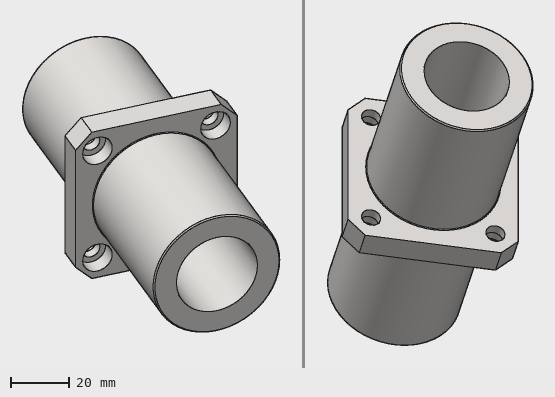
import cadquery as cq

length = 123.0
body_diameter = 47.0
bore_diameter = 30.0
end_chamfer = 0.5

flange_side = 60.0
flange_thickness = 10.0
corner_chamfer = 6.0
collar_diameter = 47.6

hole_diameter = 6.6
counterbore_diameter = 11.0
counterbore_depth = 6.2
hole_spacing = 43.8


def sleeve():
    """Solid round sleeve with chamfered ends."""
    body = cq.Workplane("YZ").circle(body_diameter / 2).extrude(length / 2, both=True)
    return body.faces("<X or >X").edges().chamfer(end_chamfer)


def flange():
    """Square plate with cut corners and four counterbored holes."""
    plate = cq.Workplane("XY").box(flange_thickness, flange_side, flange_side)
    plate = plate.edges("|X").chamfer(corner_chamfer)
    return (
        plate.faces(">X")
        .workplane()
        .rect(hole_spacing, hole_spacing, forConstruction=True)
        .vertices()
        .cboreHole(hole_diameter, counterbore_diameter, counterbore_depth)
    )


def root_cones():
    """Small 45-degree cones on both flange faces, joined through the flange."""
    body_radius = body_diameter / 2
    collar_radius = collar_diameter / 2
    face_x = flange_thickness / 2
    cone_end_x = face_x + collar_radius - body_radius
    profile = [
        (-cone_end_x, 0),
        (-cone_end_x, body_radius),
        (-face_x, collar_radius),
        (face_x, collar_radius),
        (cone_end_x, body_radius),
        (cone_end_x, 0),
    ]
    return cq.Workplane("XY").polyline(profile).close().revolve(360, (0, 0, 0), (1, 0, 0))


bore = cq.Workplane("YZ").circle(bore_diameter / 2).extrude(length / 2, both=True)

result = sleeve().union(flange()).union(root_cones()).cut(bore)